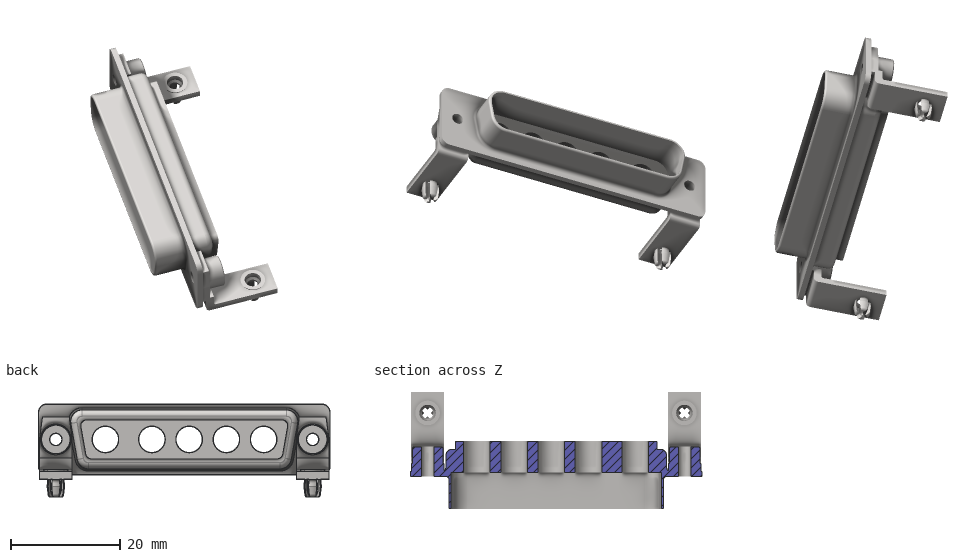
import cadquery as cq
import math


flange_width = 53.42
flange_height = 12.97
flange_thickness = 1.03
flange_corner_radius = 1.55

side_lean = math.radians(10)

selection_margin = 0.02

shell_length = 5.92
shell_width = 39.85
shell_height = 9.2
shell_corner_radius = 3.15
shell_wall = 0.5
cavity_floor_y = 0.7
shell_base_fillet = 0.45
shell_lip_fillet = 0.4

housing_back = 5.05
housing_width = 41.6
housing_height = 10.8
housing_corner_radius = 2.1
housing_edge_fillet = 1.15
housing_flare_radius = 0.85
housing_flare_length = 0.72

insert_back = 6.5
insert_width = 37.9
insert_height = 7.1
insert_corner_radius = 1.0

contact_diameter = 4.8
contact_positions = (-14.54, -7.72, -0.9, 5.92, 14.44)

mount_spacing = 47.04
standoff_radius = 2.82
standoff_back = 5.5
standoff_edge_chamfer = 0.2
mount_hole_diameter = 2.2

bracket_width = 6.0
bracket_thickness = 1.41
bracket_jog = 0.76
bracket_top = 4.07
bracket_top_width = 4.9
jog_front_z = -4.18
jog_back_z = -3.4
bracket_bottom = -7.32
bracket_back = 15.47
bend_inner_radius = 0.4
bend_outer_radius = 0.8

pin_y = 11.63
collar_radius = 2.25
collar_base_radius = 2.1
collar_height = 0.38
overall_height = 17.07
pin_bottom = flange_height / 2 - overall_height
pin_top_radius = 1.48
pin_neck_length = 0.12
pin_bulge_radius = 1.62
pin_bulge_z = -8.6
pin_tip_radius = 1.35
pin_tip_fillet = 0.5
pin_bore_mouth_radius = 1.5
pin_bore_shoulder_radius = 1.45
pin_bore_shoulder_depth = 1.1
pin_bore_shoulder_height = 0.3
pin_bore_radius = 1.04
pin_bore_bottom = -9.3
pin_bore_tip_radius = 0.5
pin_slot_width = 0.85
pin_slot_angles = (45, -45)


def slab(sketch, y_front, y_back):
    """Extrude an XZ outline from y_front to y_back."""
    return sketch.extrude(y_front - y_back).translate((0, y_front, 0))


def d_block(width, height, corner_radius, y_front, y_back):
    """D-shaped block whose widest points, on the upper corners, span the given width."""
    top = height / 2
    arc_center_x = width / 2 - corner_radius
    arc_center_z = top - corner_radius

    def side_x(z):
        return arc_center_x + corner_radius / math.cos(side_lean) + (z - arc_center_z) * math.tan(side_lean)

    corners = [
        (-side_x(top), top),
        (side_x(top), top),
        (side_x(-top), -top),
        (-side_x(-top), -top),
    ]
    block = slab(cq.Workplane("XZ").polyline(corners).close(), y_front, y_back)
    return block.edges("|Y").fillet(corner_radius)


def y_cylinder(x, radius, y_front, y_back):
    """Cylinder along Y at mid-height."""
    return slab(cq.Workplane("XZ").center(x, 0).circle(radius), y_front, y_back)


def flare_root(body, y_root, radius):
    """Fillet the D-shaped edge where a body rises from the flange-sized plate face at y_root."""
    half_x = flange_width / 2 - flange_corner_radius
    half_z = flange_height / 2 - selection_margin
    root_region = cq.selectors.BoxSelector(
        (-half_x, y_root - selection_margin, -half_z),
        (half_x, y_root + selection_margin, half_z),
    )
    return body.edges(root_region).fillet(radius)


def flange_plate(y_back):
    """Rounded flange plate from y = 0 to y_back."""
    plate = slab(cq.Workplane("XZ").rect(flange_width, flange_height), 0, y_back)
    return plate.edges("|Y").fillet(flange_corner_radius)


def make_shell():
    """Solid mating shell, flared where it meets the flange and rounded at its lip."""
    shell = d_block(shell_width, shell_height, shell_corner_radius, -shell_length, flange_thickness)
    shell = shell.faces("<Y").edges().fillet(shell_lip_fillet)
    return flare_root(flange_plate(flange_thickness).union(shell), 0, shell_base_fillet)


def make_housing():
    """Rear housing; its flare runs out on a level below the flange back, so the flange trims it."""
    flare_level = flange_thickness + housing_flare_length - housing_flare_radius
    housing = d_block(housing_width, housing_height, housing_corner_radius, 0, housing_back)
    housing = housing.faces(">Y").edges().fillet(housing_edge_fillet)
    return flare_root(flange_plate(flare_level).union(housing), flare_level, housing_flare_radius)


def make_bracket(x):
    """Angle bracket: tapered upright behind the flange, jogged back, then bent into a foot."""
    jog_front_y = flange_thickness + bracket_jog
    upright_back_y = flange_thickness + bracket_thickness
    jog_back_y = jog_front_y + bracket_thickness
    foot_top = bracket_bottom + bracket_thickness
    side_profile = [
        (flange_thickness, bracket_top),
        (upright_back_y, bracket_top),
        (upright_back_y, jog_back_z),
        (jog_back_y, jog_back_z),
        (jog_back_y, foot_top),
        (bracket_back, foot_top),
        (bracket_back, bracket_bottom),
        (jog_front_y, bracket_bottom),
        (jog_front_y, jog_front_z),
        (flange_thickness, jog_front_z),
    ]
    strip = cq.Workplane("YZ").polyline(side_profile).close().extrude(bracket_width / 2, both=True)
    outer_bend = cq.selectors.NearestToPointSelector((0, jog_front_y, bracket_bottom))
    strip = strip.edges(outer_bend).fillet(bend_outer_radius)
    inner_bend = cq.selectors.NearestToPointSelector((0, jog_back_y, foot_top))
    strip = strip.edges(inner_bend).fillet(bend_inner_radius)
    tapered_front = [
        (-bracket_width / 2, bracket_bottom),
        (-bracket_width / 2, 0),
        (-bracket_top_width / 2, bracket_top),
        (bracket_top_width / 2, bracket_top),
        (bracket_width / 2, 0),
        (bracket_width / 2, bracket_bottom),
    ]
    outline = slab(cq.Workplane("XZ").polyline(tapered_front).close(), 0, bracket_back)
    return strip.intersect(outline).translate((x, 0, 0))


def make_standoff(x):
    standoff = y_cylinder(x, standoff_radius, flange_thickness, standoff_back)
    return standoff.faces(">Y").edges().chamfer(standoff_edge_chamfer)


def make_board_lock():
    """Board lock about the Z axis: a flared collar above the foot and a barrel bulging below it."""
    collar_top = bracket_bottom + bracket_thickness + collar_height
    collar_bottom = collar_top - collar_height
    barrel = (
        cq.Workplane("XZ")
        .moveTo(0, collar_top)
        .lineTo(collar_radius, collar_top)
        .lineTo(collar_base_radius, collar_bottom)
        .lineTo(pin_top_radius, collar_bottom)
        .lineTo(pin_top_radius, bracket_bottom - pin_neck_length)
        .lineTo(pin_bulge_radius, pin_bulge_z)
        .lineTo(pin_tip_radius, pin_bottom)
        .lineTo(0, pin_bottom)
        .close()
        .revolve(360, (0, 0, 0), (0, 1, 0))
    )
    return barrel.faces("<Z").edges().fillet(pin_tip_fillet)


def make_board_lock_bore():
    """Bore with a funnel mouth and a tapering tip, plus two diagonal slots splitting the barrel."""
    collar_top = bracket_bottom + bracket_thickness + collar_height
    shoulder_top = collar_top - pin_bore_shoulder_depth
    bore_profile = [
        (0, collar_top),
        (pin_bore_mouth_radius, collar_top),
        (pin_bore_shoulder_radius, shoulder_top),
        (pin_bore_radius, shoulder_top - pin_bore_shoulder_height),
        (pin_bore_radius, pin_bore_bottom),
        (pin_bore_tip_radius, pin_bottom),
        (0, pin_bottom),
    ]
    bore = cq.Workplane("XZ").polyline(bore_profile).close().revolve(360, (0, 0, 0), (0, 1, 0))
    slot = cq.Workplane("XY").workplane(offset=pin_bottom)
    slot = slot.rect(2 * collar_radius, pin_slot_width).extrude(bracket_bottom - pin_bottom)
    for angle in pin_slot_angles:
        bore = bore.union(slot.rotate((0, 0, 0), (0, 0, 1), angle))
    return bore


def make_cavity():
    """Opening inside the mating shell, concentric with its outer wall."""
    return d_block(
        shell_width - 2 * shell_wall,
        shell_height - 2 * shell_wall,
        shell_corner_radius - shell_wall,
        -shell_length,
        cavity_floor_y,
    )


result = make_shell().union(make_housing())
result = result.union(d_block(insert_width, insert_height, insert_corner_radius, 0, insert_back))
result = result.cut(make_cavity())
for contact_x in contact_positions:
    result = result.cut(y_cylinder(contact_x, contact_diameter / 2, -shell_length, insert_back))

for mount_x in (-mount_spacing / 2, mount_spacing / 2):
    lock_place = (mount_x, pin_y, 0)
    result = result.union(make_bracket(mount_x))
    result = result.union(make_standoff(mount_x))
    result = result.cut(y_cylinder(mount_x, mount_hole_diameter / 2, 0, standoff_back))
    result = result.union(make_board_lock().translate(lock_place))
    result = result.cut(make_board_lock_bore().translate(lock_place))